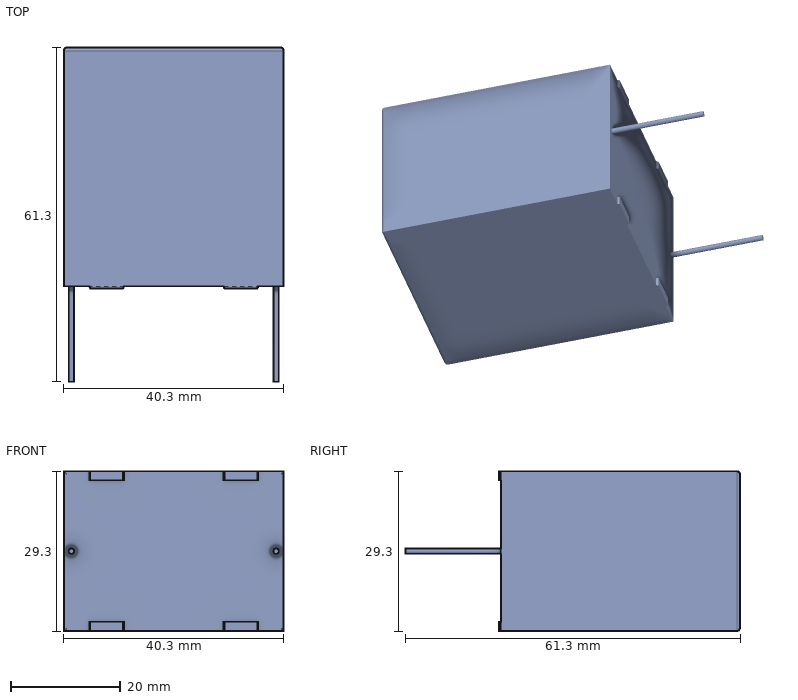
import cadquery as cq

case_width = 40.3
case_depth = 43.8
case_height = 29.3
back_edge_radius = 0.6

lead_spacing = 37.5
lead_diameter = 1.0
lead_length = 17.5

standoff_spacing = 24.6
standoff_base_width = 6.4
standoff_tip_width = 6.0
standoff_thickness = 1.7
standoff_height = 0.4



def make_standoff(center_x, bottom_z):
    """Low foot on the front face, with ends that slope inward towards its tip."""
    return (
        cq.Workplane("XY", origin=(center_x, 0, bottom_z))
        .moveTo(-standoff_base_width / 2, 0)
        .lineTo(-standoff_tip_width / 2, -standoff_height)
        .lineTo(standoff_tip_width / 2, -standoff_height)
        .lineTo(standoff_base_width / 2, 0)
        .close()
        .extrude(standoff_thickness)
    )


def make_case():
    """Block with a rounded back rim and four standoffs flush with its top and bottom."""
    case = (
        cq.Workplane("XY")
        .box(case_width, case_depth, case_height, centered=(True, False, True))
        .faces(">Y")
        .edges()
        .fillet(back_edge_radius)
    )
    lower_z = -case_height / 2
    upper_z = case_height / 2 - standoff_thickness
    for side in (-1, 1):
        for bottom_z in (lower_z, upper_z):
            case = case.union(make_standoff(side * standoff_spacing / 2, bottom_z))
    return case


def make_lead(center_x):
    """Round wire that starts on the front face and runs towards -Y."""
    return (
        cq.Workplane("XZ", origin=(center_x, 0, 0))
        .circle(lead_diameter / 2)
        .extrude(lead_length)
    )


case = make_case()
leads = [make_lead(side * lead_spacing / 2) for side in (-1, 1)]

result = cq.Compound.makeCompound([case.val(), *[lead.val() for lead in leads]])